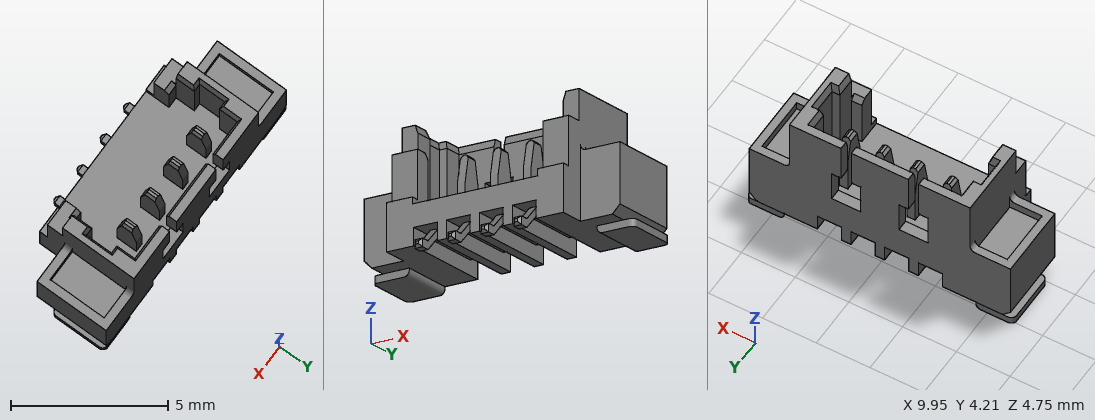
import cadquery as cq
import math


OVERALL_LENGTH = 9.95
OVERALL_DEPTH = 4.21
OVERALL_HEIGHT = 4.75
PIN_COUNT = 4
PIN_PITCH = 1.25

HOUSING_BOTTOM = 0.27
HOUSING_HALF = 3.36
HOUSING_DEPTH = 3.72
LOWER_STEP_Z = 1.94
LOWER_STEP_DEPTH = 3.41
UPPER_STEP_Z = 3.65
UPPER_STEP_DEPTH = 2.82

FLOOR_Z = 1.7
CAVITY_HALF = 2.77
CAVITY_BACK = 0.41
KEYWAY_HALF = 3.05
KEYWAY_BACK = 1.11
KEYWAY_FRONT = 2.1
FRONT_OPENING_HALF = 2.38
LEAD_IN_WIDTH = 0.1
LEAD_IN_HEIGHT = 0.29
POST_CHAMFER = 0.18

SLOT_WIDTH = 0.39
WINDOW_WIDTH = 1.07
WINDOW_BOTTOM = 2.09
WINDOW_TOP = 3.29

NOTCH_WIDTH = 0.9
NOTCH_TOP = 0.9

WING_HALF = 4.87
WING_DEPTH = 2.73
WING_TOP = 2.67
WING_CHAMFER = 0.29
WING_WALL = 0.3
WING_POCKET_DEPTH = 0.3
WING_FILLET = 0.2

PIN_THICKNESS = 0.3
BLADE_BACK = 0.89
BLADE_FRONT = 1.64
BLADE_TOP = 3.95
TAPER_START_Z = 2.97
TAPER_INSET = 0.2
BLADE_TIP_CHAMFER = 0.1
FOOT_BEND_DEPTH = 3.8
FOOT_TIP_CHAMFER = 0.1

TAB_INNER_X = 3.57
TAB_DEPTH = 2.08
TAB_CORNER_RADIUS = 0.2

PIN_POSITIONS = [(i - (PIN_COUNT - 1) / 2) * PIN_PITCH for i in range(PIN_COUNT)]
SLOT_POSITIONS = [-PIN_PITCH, PIN_PITCH]
SIDES = (-1, 1)


def box(x0, x1, back, front, z0, z1):
    """Block between two X values, two depths behind the back plane (toward -Y) and two heights."""
    corner = cq.Workplane("XY", origin=(x0, -front, z0))
    return corner.box(x1 - x0, front - back, z1 - z0, centered=False)


def side_profile(points, half_width):
    """Outline of (depth, height) points, extruded symmetrically along X."""
    outline = [(-depth, z) for depth, z in points]
    return cq.Workplane("YZ").polyline(outline).close().extrude(half_width, both=True)


def housing_block():
    """Stepped block, lower toward the front."""
    return side_profile(
        [
            (0, HOUSING_BOTTOM),
            (HOUSING_DEPTH, HOUSING_BOTTOM),
            (HOUSING_DEPTH, LOWER_STEP_Z),
            (LOWER_STEP_DEPTH, LOWER_STEP_Z),
            (LOWER_STEP_DEPTH, UPPER_STEP_Z),
            (UPPER_STEP_DEPTH, UPPER_STEP_Z),
            (UPPER_STEP_DEPTH, OVERALL_HEIGHT),
            (0, OVERALL_HEIGHT),
        ],
        HOUSING_HALF,
    )


def cavity_outline(front, flare=0.0):
    """Plan corners of the cavity with a keyway in each side wall, widened all round by the flare."""
    half = CAVITY_HALF + flare
    keyway_half = KEYWAY_HALF + flare
    keyway_back = KEYWAY_BACK - flare
    keyway_front = KEYWAY_FRONT + flare
    right = [
        (half, flare - CAVITY_BACK),
        (half, -keyway_back),
        (keyway_half, -keyway_back),
        (keyway_half, -keyway_front),
        (half, -keyway_front),
        (half, -front),
    ]
    left = [(-x, y) for x, y in reversed(right)]
    return right + left


def cavity():
    """Main cavity, its flared rim, the front opening and the chamfered front posts."""
    main = (
        cq.Workplane("XY", origin=(0, 0, FLOOR_Z))
        .polyline(cavity_outline(UPPER_STEP_DEPTH))
        .close()
        .extrude(OVERALL_HEIGHT - FLOOR_Z)
    )
    rim = (
        cq.Workplane("XY", origin=(0, 0, OVERALL_HEIGHT - LEAD_IN_HEIGHT))
        .polyline(cavity_outline(HOUSING_DEPTH))
        .close()
        .workplane(offset=LEAD_IN_HEIGHT)
        .polyline(cavity_outline(HOUSING_DEPTH, LEAD_IN_WIDTH))
        .close()
        .loft(ruled=True)
    )
    opening = box(
        -FRONT_OPENING_HALF, FRONT_OPENING_HALF, UPPER_STEP_DEPTH, HOUSING_DEPTH, FLOOR_Z, OVERALL_HEIGHT
    )
    post_chamfers = side_profile(
        [
            (UPPER_STEP_DEPTH, UPPER_STEP_Z),
            (UPPER_STEP_DEPTH + POST_CHAMFER, UPPER_STEP_Z),
            (UPPER_STEP_DEPTH, UPPER_STEP_Z - POST_CHAMFER),
        ],
        CAVITY_HALF,
    )
    return main.union(rim).union(opening).union(post_chamfers)


def back_wall_opening(x):
    """Window through the back wall with a narrower slot up to the rim."""
    window = box(x - WINDOW_WIDTH / 2, x + WINDOW_WIDTH / 2, 0, CAVITY_BACK, WINDOW_BOTTOM, WINDOW_TOP)
    slot = box(x - SLOT_WIDTH / 2, x + SLOT_WIDTH / 2, 0, CAVITY_BACK, WINDOW_BOTTOM, OVERALL_HEIGHT)
    return window.union(slot)


def notch(x):
    """Channel under the floor that clears one pin, open at the front and the back."""
    return box(x - NOTCH_WIDTH / 2, x + NOTCH_WIDTH / 2, 0, HOUSING_DEPTH, HOUSING_BOTTOM, NOTCH_TOP)


def wing():
    """Wing on the +X side: chamfered outer bottom edge, pocketed top, fillets against the block."""
    fillet_top = WING_TOP + WING_FILLET
    fillet_mid = WING_FILLET * (1 - math.sqrt(0.5))
    body = (
        cq.Workplane("XZ")
        .moveTo(HOUSING_HALF, HOUSING_BOTTOM)
        .lineTo(WING_HALF - WING_CHAMFER, HOUSING_BOTTOM)
        .lineTo(WING_HALF, HOUSING_BOTTOM + WING_CHAMFER)
        .lineTo(WING_HALF, WING_TOP)
        .lineTo(HOUSING_HALF + WING_FILLET, WING_TOP)
        .threePointArc((HOUSING_HALF + fillet_mid, WING_TOP + fillet_mid), (HOUSING_HALF, fillet_top))
        .close()
        .extrude(WING_DEPTH)
    )
    pocket = box(
        HOUSING_HALF,
        WING_HALF - WING_WALL,
        WING_WALL,
        WING_DEPTH - WING_WALL,
        WING_TOP - WING_POCKET_DEPTH,
        fillet_top,
    )
    return body.cut(pocket)


def mirrored(body, side):
    """The +X body itself, or its mirror image for the -X side."""
    return body if side > 0 else body.mirror("YZ")


def make_pin(x):
    """Tapered contact blade, leg along the floor's underside, sloped lead and flat foot."""
    leg_bottom = NOTCH_TOP - PIN_THICKNESS
    leg_bend_depth = FOOT_BEND_DEPTH - leg_bottom
    pin = side_profile(
        [
            (BLADE_BACK, leg_bottom),
            (leg_bend_depth, leg_bottom),
            (FOOT_BEND_DEPTH, 0),
            (OVERALL_DEPTH, 0),
            (OVERALL_DEPTH, PIN_THICKNESS),
            (FOOT_BEND_DEPTH, PIN_THICKNESS),
            (leg_bend_depth, NOTCH_TOP),
            (BLADE_FRONT, NOTCH_TOP),
            (BLADE_FRONT, TAPER_START_Z),
            (BLADE_FRONT - TAPER_INSET, BLADE_TOP),
            (BLADE_BACK + TAPER_INSET, BLADE_TOP),
            (BLADE_BACK, TAPER_START_Z),
        ],
        PIN_THICKNESS / 2,
    )
    pin = pin.faces("<Y").edges().chamfer(FOOT_TIP_CHAMFER)
    pin = pin.faces(">Z").edges("|Y").chamfer(BLADE_TIP_CHAMFER)
    return pin.translate((x, 0, 0))


def pin_hole(x):
    """Hole in the floor that fits one blade."""
    return box(x - PIN_THICKNESS / 2, x + PIN_THICKNESS / 2, BLADE_BACK, BLADE_FRONT, NOTCH_TOP, FLOOR_Z)


def make_housing():
    housing = housing_block().cut(cavity())
    for side in SIDES:
        housing = housing.union(mirrored(wing(), side))
    for x in SLOT_POSITIONS:
        housing = housing.cut(back_wall_opening(x))
    for x in PIN_POSITIONS:
        housing = housing.cut(notch(x)).cut(pin_hole(x))
    return housing


def make_tab(side):
    """Flat solder tab under one wing, rounded at its outer corners and inner bottom edge."""
    tab = box(TAB_INNER_X, OVERALL_LENGTH / 2, 0, TAB_DEPTH, 0, HOUSING_BOTTOM)
    tab = tab.edges("|Z and >X").fillet(TAB_CORNER_RADIUS)
    tab = tab.edges("<X and <Z").fillet(TAB_CORNER_RADIUS)
    return mirrored(tab, side)


housing = make_housing()
pins = [make_pin(x) for x in PIN_POSITIONS]
tabs = [make_tab(side) for side in SIDES]

result = cq.Compound.makeCompound(
    [housing.val(), *[pin.val() for pin in pins], *[tab.val() for tab in tabs]]
)